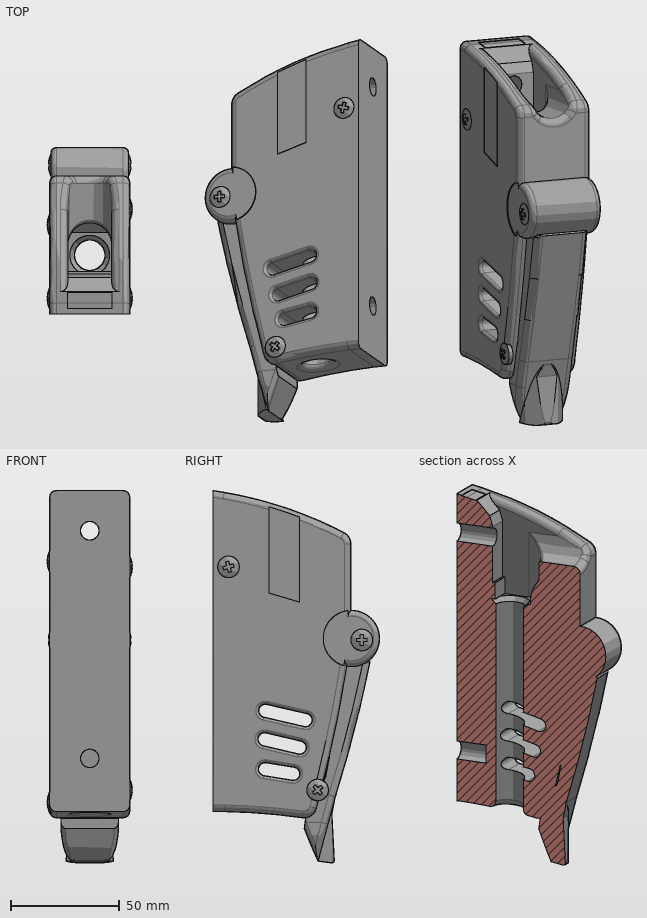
import cadquery as cq
import math


BODY_WIDTH = 37.0
HALF_WIDTH = BODY_WIDTH / 2
ROOF_FRONT_Z = 148.4
ROOF_BEND = (5.2, 147.55)
ROOF_MID = (26.0, 142.8)
BACK_TOP = (63.8, 127.2)
BACK_BEND = (63.8, 80.0)
BACK_MID = (57.2, 41.5)
BACK_FOOT = (46.4, -3.6)
SOLE_BEND = (5.5, 0.0)
SOLE_MID = (26.0, -1.1)
TOP_CORNER_RADIUS = 6.0
FOOT_CORNER_RADIUS = 6.0
SIDE_FILLET = 3.1

POCKET_WIDTH = 20.2
POCKET_RADIUS = POCKET_WIDTH / 2
POCKET_FRONT_Y = 18.6
POCKET_BACK_Y = 42.2
POCKET_FLOOR_Z = 100.0
RAMP_TOP_Y = 10.0
RAMP_TOP_Z = 147.0
RAMP_BEND = (17.0, 140.0)
RAMP_FOOT_Z = 135.0
LEDGE_BACK_Y = 19.7
LEDGE_HEIGHT = 8.0
FLOOR_BACK_Y = 37.8
FLOOR_SLOPE_HEIGHT = 12.0
FLOOR_SLOPE_MID = (39.0, 107.0)
TROUGH_AXIS_Z = 131.5
RIM_FILLET = 3.5
TROUGH_LIP_FILLET = 1.2
BORE_DIAMETER = 14.0
BORE_Y = 27.2
BORE_CHAMFER = 2.2
BORE_MOUTH_FILLET = 3.0

MOUNT_HOLE_DIAMETER = 8.5
UPPER_HOLE_Z = 129.8
LOWER_HOLE_Z = 24.6
LOWER_HOLE_DEPTH = 15.0

SLOT_ENDS = [
    ((42.8, 42.3), (24.2, 46.6)),
    ((40.1, 29.6), (23.9, 33.4)),
    ((37.1, 17.5), (24.1, 19.6)),
]
SLOT_WIDTH = 6.0
SLOT_FILLET = 1.4

LABEL_DEPTH = 0.25
SIDE_LABEL = [(40.1, 96.8), (26.0, 101.0), (26.0, 150.0), (40.1, 150.0)]
ROOF_LABEL_WIDTH = 20.5
ROOF_LABEL_Y = (2.6, 10.0)
ROOF_LABEL_BACK_Z = 146.45

PIVOT = (64.0, 80.0)
HUB_RADIUS = 13.02
HUB_WIDTH = 36.0
HUB_FILLET = 2.7
HANDLE_WIDTH = 26.8
HANDLE_FILLET = 3.2
HANDLE_FRONT_FILLET = 2.0
HANDLE_TIP_Z = -23.9
HANDLE_TOP = (72.6, 69.0)
HANDLE_MID = (64.8, 35.4)
HANDLE_NECK = (56.6, 6.9)
LIP_NECK = (55.0, -0.9)
LIP_BACK = (56.2, HANDLE_TIP_Z)
LIP_FRONT = (48.6, HANDLE_TIP_Z + 1.0)
THUMB_MID = (45.6, -16.2)
THUMB_TOP = (42.2, -7.8)
HANDLE_HEEL = (42.8, -3.2)
HANDLE_INSIDE = (52.0, 16.0)
LIP_WIDTH = 19.5
TAPER_TOP_Z = -5.0
LIP_ROUND_RADIUS = 11.8
LIP_FILLET = 1.2

SCREW_DIAMETER = 10.0
SCREW_HEIGHT = 1.2
SCREW_ROOT = 2.0
CROSS_SPAN = 5.0
CROSS_ARM = 1.5
CROSS_DEPTH = 0.8
HUB_SCREW = (68.8, 79.3)
LEFT_SCREWS = [((7.2, 115.6), 15), ((41.2, 4.3), 40)]
RIGHT_SCREWS = [((7.2, 113.1), 15), ((48.4, 10.0), 40)]


def side_plane(x=0.0):
    """Sketch plane with local axes (Y, Z), facing +X."""
    return cq.Workplane("YZ", origin=(x, 0, 0))


def across(sketch, width):
    """Extrude a (Y, Z) outline symmetrically about X = 0."""
    return sketch.extrude(width / 2, both=True)


def edge_at(point):
    """Selector for the edge along X that passes a (Y, Z) point."""
    return cq.selectors.NearestToPointSelector((0, point[0], point[1]))


def make_housing():
    outline = (
        side_plane()
        .moveTo(0, 0)
        .lineTo(0, ROOF_FRONT_Z)
        .lineTo(*ROOF_BEND)
        .threePointArc(ROOF_MID, BACK_TOP)
        .lineTo(*BACK_BEND)
        .threePointArc(BACK_MID, BACK_FOOT)
        .threePointArc(SOLE_MID, SOLE_BEND)
        .close()
    )
    body = across(outline, BODY_WIDTH)
    body = body.edges(edge_at(BACK_TOP)).fillet(TOP_CORNER_RADIUS)
    body = body.edges(edge_at(BACK_FOOT)).fillet(FOOT_CORNER_RADIUS)
    rims = body.faces("<X or >X").edges().filter(lambda e: e.Center().y > SIDE_FILLET / 2)
    return body.newObject(rims.vals()).fillet(SIDE_FILLET)


def cut_rope_pocket(body):
    over = ROOF_FRONT_Z + RIM_FILLET
    length = POCKET_BACK_Y - POCKET_RADIUS - POCKET_FRONT_Y
    well = (
        cq.Workplane("XY", origin=(0, POCKET_FRONT_Y, POCKET_FLOOR_Z))
        .moveTo(-POCKET_RADIUS, 0)
        .lineTo(POCKET_RADIUS, 0)
        .lineTo(POCKET_RADIUS, length)
        .threePointArc((0, length + POCKET_RADIUS), (-POCKET_RADIUS, length))
        .close()
        .extrude(over - POCKET_FLOOR_Z)
    )
    trough_mouth = cq.Workplane("XZ", origin=(0, POCKET_BACK_Y - POCKET_RADIUS, 0))
    trough = (
        trough_mouth
        .moveTo(-POCKET_RADIUS, over)
        .lineTo(-POCKET_RADIUS, TROUGH_AXIS_Z)
        .threePointArc((0, TROUGH_AXIS_Z - POCKET_RADIUS), (POCKET_RADIUS, TROUGH_AXIS_Z))
        .lineTo(POCKET_RADIUS, over)
        .close()
        .extrude(-BACK_TOP[0])
    )
    ramp = across(
        side_plane().polyline([
            (RAMP_TOP_Y, over),
            (RAMP_TOP_Y, RAMP_TOP_Z),
            RAMP_BEND,
            (POCKET_FRONT_Y, RAMP_FOOT_Z),
            (POCKET_BACK_Y - POCKET_RADIUS, RAMP_FOOT_Z),
            (POCKET_BACK_Y - POCKET_RADIUS, over),
        ]).close(),
        POCKET_WIDTH,
    )
    ledge = across(
        side_plane().polyline([
            (POCKET_FRONT_Y, POCKET_FLOOR_Z),
            (LEDGE_BACK_Y, POCKET_FLOOR_Z),
            (LEDGE_BACK_Y, POCKET_FLOOR_Z + LEDGE_HEIGHT),
            (POCKET_FRONT_Y, POCKET_FLOOR_Z + LEDGE_HEIGHT),
        ]).close(),
        POCKET_WIDTH,
    )
    floor_slope = across(
        side_plane()
        .moveTo(POCKET_BACK_Y, POCKET_FLOOR_Z)
        .lineTo(FLOOR_BACK_Y, POCKET_FLOOR_Z)
        .threePointArc(FLOOR_SLOPE_MID, (POCKET_BACK_Y, POCKET_FLOOR_Z + FLOOR_SLOPE_HEIGHT))
        .close(),
        POCKET_WIDTH,
    )
    well = well.cut(ledge).cut(floor_slope)
    return body.cut(well.union(trough).union(ramp))


def fillet_pocket_rim(body):
    def on_rim(edge):
        box = edge.BoundingBox()
        in_opening = abs(edge.Center().x) < HALF_WIDTH - SIDE_FILLET - 0.1
        along_wall = in_opening and edge.geomType() != "LINE" and box.ymin < BACK_TOP[0] - 1
        across_back = in_opening and edge.geomType() == "CIRCLE" and box.ymin > BACK_TOP[0] - 0.1
        return box.ymax > POCKET_BACK_Y + 1 and box.zmin > POCKET_FLOOR_Z and (along_wall or across_back)

    def on_trough_lip(edge):
        box = edge.BoundingBox()
        return edge.geomType() == "ELLIPSE" and POCKET_FRONT_Y < box.ymin and box.ymax < POCKET_BACK_Y + 0.1

    body = body.edges().filter(on_rim).fillet(RIM_FILLET)
    return body.edges().filter(on_trough_lip).fillet(TROUGH_LIP_FILLET)


def cut_bore(body):
    radius = BORE_DIAMETER / 2
    below = -10.0
    bore = (
        cq.Workplane("XY", origin=(0, BORE_Y, below))
        .circle(radius)
        .extrude(POCKET_FLOOR_Z - below)
    )
    countersink = cq.Workplane(cq.Solid.makeCone(
        radius, radius + BORE_CHAMFER, BORE_CHAMFER,
        cq.Vector(0, BORE_Y, POCKET_FLOOR_Z - BORE_CHAMFER), cq.Vector(0, 0, 1),
    ))
    body = body.cut(bore).cut(countersink)
    mouth = body.edges().filter(
        lambda e: e.BoundingBox().zmax < 0 and abs(e.BoundingBox().xlen - BORE_DIAMETER) < 0.1
    )
    return mouth.fillet(BORE_MOUTH_FILLET)


def cut_mount_holes(body):
    for z, depth in ((UPPER_HOLE_Z, BACK_TOP[0]), (LOWER_HOLE_Z, LOWER_HOLE_DEPTH)):
        hole = cq.Workplane("XZ", origin=(0, 0, z)).circle(MOUNT_HOLE_DIAMETER / 2).extrude(-depth)
        body = body.cut(hole)
    return body


def slot_cutter(back_end, front_end):
    """Straight round-ended cutter that passes through both side faces."""
    dy = front_end[0] - back_end[0]
    dz = front_end[1] - back_end[1]
    middle = ((back_end[0] + front_end[0]) / 2, (back_end[1] + front_end[1]) / 2)
    slot = side_plane().center(*middle).slot2D(
        math.hypot(dy, dz) + SLOT_WIDTH, SLOT_WIDTH, math.degrees(math.atan2(dz, dy))
    )
    return across(slot, BODY_WIDTH + 2)


def cut_slots(body):
    for back_end, front_end in SLOT_ENDS:
        cutter = slot_cutter(back_end, front_end)
        body = body.cut(cutter)
        box = cutter.val().BoundingBox()
        margin = 0.1

        def on_mouth(edge):
            e = edge.BoundingBox()
            in_y = box.ymin - margin < e.ymin and e.ymax < box.ymax + margin
            in_z = box.zmin - margin < e.zmin and e.zmax < box.zmax + margin
            return in_y and in_z and e.xlen < margin and abs(edge.Center().x) > HALF_WIDTH - margin

        body = body.edges().filter(on_mouth).fillet(SLOT_FILLET)
    return body


def cut_labels(body):
    for side in (-1, 1):
        label = side_plane(side * (HALF_WIDTH - LABEL_DEPTH)).polyline(SIDE_LABEL).close()
        body = body.cut(label.extrude(side))
    front, back = ROOF_LABEL_Y
    bend_y, bend_z = ROOF_BEND
    front_slope = (ROOF_FRONT_Z - bend_z) / bend_y
    roof_label = side_plane().polyline([
        (front, ROOF_FRONT_Z - front_slope * front - LABEL_DEPTH),
        (bend_y, bend_z - LABEL_DEPTH),
        (back, ROOF_LABEL_BACK_Z),
        (back, ROOF_FRONT_Z),
        (front, ROOF_FRONT_Z),
    ]).close()
    return body.cut(across(roof_label, ROOF_LABEL_WIDTH))


def cut_hub_recess(body):
    for side in (-1, 1):
        recess = side_plane(side * HUB_WIDTH / 2).center(*PIVOT).circle(HUB_RADIUS)
        body = body.cut(recess.extrude(side * HALF_WIDTH))
    return body


def make_hub():
    hub = across(side_plane().center(*PIVOT).circle(HUB_RADIUS), HUB_WIDTH)
    return hub.faces("<X or >X").edges().fillet(HUB_FILLET)


def make_handle_bar():
    """Curved bar whose lower end narrows towards the lip."""
    profile = (
        side_plane()
        .moveTo(*PIVOT)
        .lineTo(*HANDLE_TOP)
        .threePointArc(HANDLE_MID, HANDLE_NECK)
        .lineTo(*LIP_FRONT)
        .threePointArc(THUMB_MID, THUMB_TOP)
        .lineTo(*HANDLE_HEEL)
        .lineTo(*HANDLE_INSIDE)
        .close()
    )
    half = HANDLE_WIDTH / 2
    half_lip = LIP_WIDTH / 2
    width_outline = (
        cq.Workplane("XZ")
        .moveTo(0, PIVOT[1])
        .lineTo(half, PIVOT[1])
        .lineTo(half, TAPER_TOP_Z)
        .tangentArcPoint((half_lip, HANDLE_TIP_Z), relative=False)
        .lineTo(0, HANDLE_TIP_Z)
        .mirrorY()
        .extrude(-PIVOT[0] - HUB_RADIUS)
    )
    bar = across(profile, HANDLE_WIDTH).intersect(width_outline)

    def on_back(edge):
        box = edge.BoundingBox()
        return edge.geomType() == "CIRCLE" and box.xlen < 0.1 and box.ymax > HANDLE_NECK[0] + 1

    def on_front(edge):
        box = edge.BoundingBox()
        below_heel = box.zmax < THUMB_TOP[1] + 0.1
        return below_heel and box.zlen > 2 and abs(edge.Center().x) > half_lip and box.ymin < THUMB_TOP[0] + 0.1

    rounded_back = bar.edges().filter(on_back).fillet(HANDLE_FILLET)
    rounded_front = bar.edges().filter(on_front).fillet(HANDLE_FRONT_FILLET)
    return rounded_back.intersect(rounded_front)


def make_lip():
    """Finger lip behind the lower end of the bar, rounded in plan."""
    profile = (
        side_plane()
        .moveTo(*HANDLE_NECK)
        .lineTo(*LIP_NECK)
        .lineTo(*LIP_BACK)
        .lineTo(*LIP_FRONT)
        .close()
    )
    lip = across(profile, HANDLE_WIDTH)
    lip = lip.edges(edge_at(LIP_BACK)).fillet(LIP_FILLET)
    lip_centre_y = LIP_BACK[0] - LIP_ROUND_RADIUS
    plan = (
        cq.Workplane("XY", origin=(0, lip_centre_y, HANDLE_TIP_Z))
        .circle(LIP_ROUND_RADIUS)
        .extrude(HANDLE_NECK[1] - HANDLE_TIP_Z)
    )
    return lip.intersect(plan)


def make_screw(seat, face_x, side, turn):
    """Domed cross-head screw on a side face; side is -1 or 1."""
    radius = SCREW_DIAMETER / 2
    dome_mid = radius / 2
    sphere_radius = (radius ** 2 + SCREW_HEIGHT ** 2) / (2 * SCREW_HEIGHT)
    dome_mid_height = SCREW_HEIGHT - sphere_radius + math.sqrt(sphere_radius ** 2 - dome_mid ** 2)
    seat_x = side * (face_x - SCREW_ROOT)
    rim_x = side * face_x
    tip_x = side * (face_x + SCREW_HEIGHT)
    head = (
        cq.Workplane("XY", origin=(0, *seat))
        .moveTo(seat_x, 0)
        .lineTo(seat_x, radius)
        .lineTo(rim_x, radius)
        .threePointArc((side * (face_x + dome_mid_height), dome_mid), (tip_x, 0))
        .close()
        .revolve(360, (0, 0, 0), (1, 0, 0))
    )
    cross = side_plane(tip_x - side * CROSS_DEPTH)
    for angle in (turn, turn + 90):
        arm = cross.center(*seat).transformed(rotate=(0, 0, angle)).rect(CROSS_SPAN, CROSS_ARM)
        head = head.cut(arm.extrude(side * SCREW_HEIGHT))
    return head


def add_screws(body):
    for side, screws in ((-1, LEFT_SCREWS), (1, RIGHT_SCREWS)):
        for seat, turn in screws:
            body = body.union(make_screw(seat, HALF_WIDTH, side, turn))
        body = body.union(make_screw(HUB_SCREW, HUB_WIDTH / 2, side, 0))
    return body


def make_clutch():
    body = fillet_pocket_rim(cut_rope_pocket(make_housing()))
    body = cut_bore(body)
    body = cut_mount_holes(body)
    body = cut_slots(body)
    body = cut_labels(body)
    body = cut_hub_recess(body)
    body = body.union(make_hub()).union(make_handle_bar()).union(make_lip())
    return add_screws(body)


result = make_clutch()